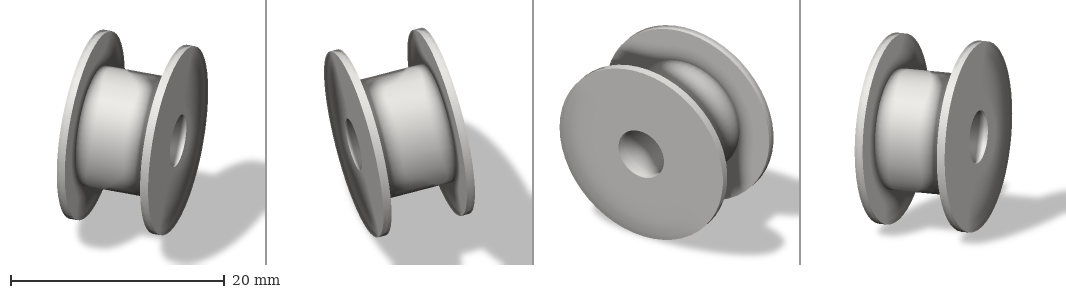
import cadquery as cq

flange_diameter = 18.0
spool_width = flange_diameter / 2
flange_thickness = 0.8
hub_diameter = 11.45
bore_diameter = 5.0


def disc(diameter, start_x, length):
    """Solid cylinder along X, beginning at start_x."""
    return cq.Workplane("YZ").workplane(offset=start_x).circle(diameter / 2).extrude(length)


left_face_x = -spool_width / 2
right_flange_x = spool_width / 2 - flange_thickness

hub = disc(hub_diameter, left_face_x, spool_width)
left_flange = disc(flange_diameter, left_face_x, flange_thickness)
right_flange = disc(flange_diameter, right_flange_x, flange_thickness)
bore = disc(bore_diameter, left_face_x, spool_width)

result = hub.union(left_flange).union(right_flange).cut(bore)